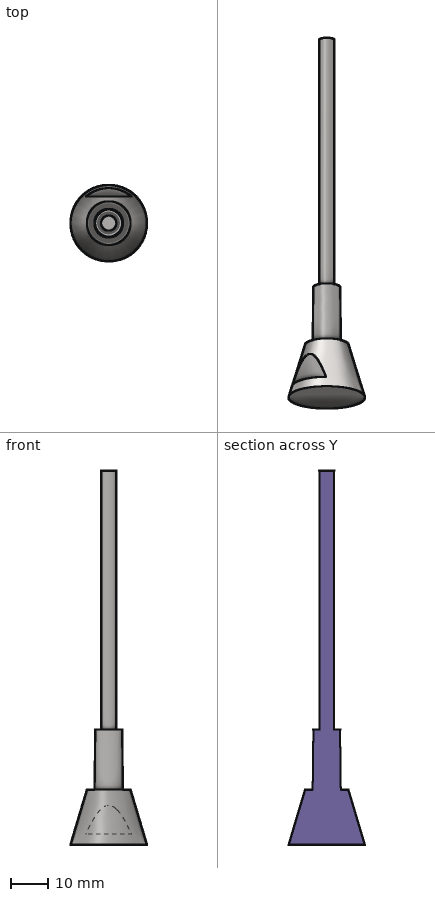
import cadquery as cq

total_height = 99.98

base_bottom_diameter = 20.48
base_top_diameter = 11.7
base_height = 14.7

flat_offset = 7.1
lip_height = 2.9

sleeve_bottom_diameter = 7.65
sleeve_top_diameter = 7.25
sleeve_height = 16.1

rod_diameter = 4.06

sleeve_top = base_height + sleeve_height


def make_turned_body():
    """Base, sleeve and rod revolved together about the Z axis."""
    return (
        cq.Workplane("XZ")
        .moveTo(0, 0)
        .lineTo(base_bottom_diameter / 2, 0)
        .lineTo(base_top_diameter / 2, base_height)
        .lineTo(sleeve_bottom_diameter / 2, base_height)
        .lineTo(sleeve_top_diameter / 2, sleeve_top)
        .lineTo(rod_diameter / 2, sleeve_top)
        .lineTo(rod_diameter / 2, total_height)
        .lineTo(0, total_height)
        .close()
        .revolve(360, (0, 0, 0), (0, 1, 0))
    )


def make_flat_cutter():
    """Block that removes the cone beyond the flat, above the lip."""
    cutter_width = base_bottom_diameter
    cutter_depth = base_bottom_diameter / 2
    cutter_height = base_height - lip_height
    return (
        cq.Workplane("XY")
        .box(cutter_width, cutter_depth, cutter_height, centered=(True, False, False))
        .translate((0, flat_offset, lip_height))
    )


result = make_turned_body().cut(make_flat_cutter())